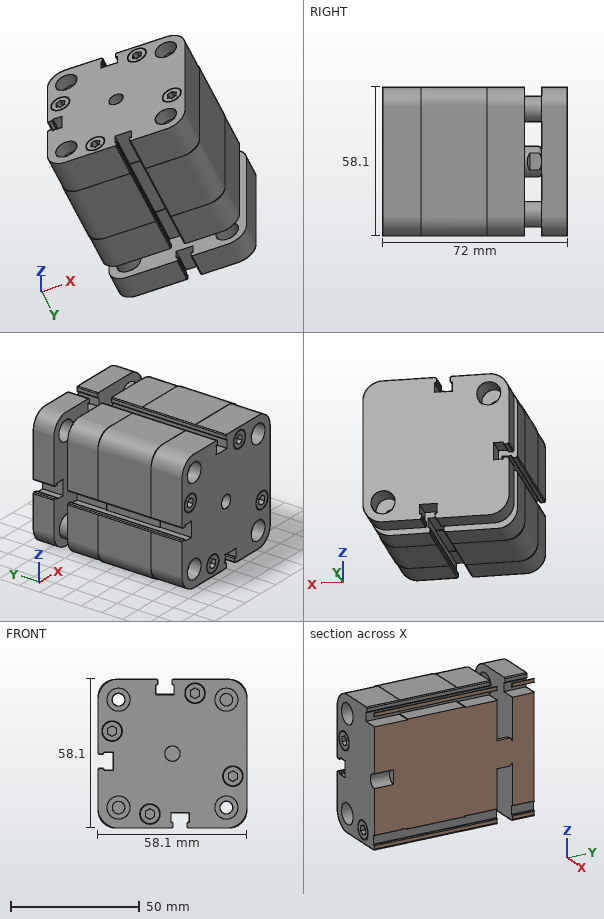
import cadquery as cq
import math

cap_side = 58.1
tube_side = 58.0
total_length = 72.0
front_cap_length = 15.0
tube_length = 25.8
rear_cap_length = 14.6
plate_thickness = 10.0

cap_corner_setback = 7.3
cap_corner_radius = 7.9
tube_corner_radius = 7.0

rear_cap_start = front_cap_length + tube_length
body_end = rear_cap_start + rear_cap_length
plate_start = total_length - plate_thickness
plate_gap = plate_start - body_end

slot_offset = 2.95
slot_width = 7.0
slot_neck_width = 5.4
slot_lip = 2.4
slot_lip_rounding = 0.4
slot_depth = 6.1
tube_slot_depth = 5.8
slot_angles = (0, 90, 180)

corner_hole_place = 21.0
corner_bore_diameter = 9.0
corner_bore_depth = 5.5
corner_hole_diameter = 4.9
plate_hole_diameter = 9.5

guide_rod_place = 20.5
guide_rod_diameter = 10.0

piston_diameter = 12.0
piston_flat_width = 10.0
piston_flat_length = 4.6
piston_end_rounding = 1.45

port_diameter = 6.0
port_depth = 8.65

screw_near = 8.8
screw_far = 23.55
screw_recess_diameter = 8.0
screw_head_diameter = 7.5
screw_recess_depth = 4.3
socket_across_flats = 3.6
socket_depth = 3.6


def plane_at(y):
    """Plane at distance y from the front face: local x is +X, local y is +Z."""
    return cq.Workplane("XZ", origin=(0, y, 0))


def cylinders(points, start, length, diameter):
    return plane_at(start).pushPoints(points).circle(diameter / 2).extrude(-length)


def slots(start, length, depth):
    """T-shaped sensor slots with rounded lips, along one stretch of the part."""
    face = cap_side / 2
    half_neck = slot_neck_width / 2
    half_slot = slot_width / 2
    half_mouth = half_neck + slot_lip_rounding
    lip_bottom = face - slot_lip
    rounding = slot_lip_rounding
    slot = (
        plane_at(start)
        .center(-slot_offset, 0)
        .moveTo(half_mouth, face)
        .radiusArc((half_neck, face - rounding), rounding)
        .lineTo(half_neck, lip_bottom + rounding)
        .radiusArc((half_mouth, lip_bottom), rounding)
        .lineTo(half_slot, lip_bottom)
        .lineTo(half_slot, face - depth)
        .lineTo(-half_slot, face - depth)
        .lineTo(-half_slot, lip_bottom)
        .lineTo(-half_mouth, lip_bottom)
        .radiusArc((-half_neck, lip_bottom + rounding), rounding)
        .lineTo(-half_neck, face - rounding)
        .radiusArc((-half_mouth, face), rounding)
        .close()
        .extrude(-length)
    )
    cutters = [slot.rotate((0, 0, 0), (0, 1, 0), -angle) for angle in slot_angles]
    return cutters[0].union(cutters[1]).union(cutters[2])


def cap_block(start, length):
    """Slotted square block of the caps and the plate, with arcs across its corners."""
    face = cap_side / 2
    edge = face - cap_corner_setback
    radius = cap_corner_radius
    block = (
        plane_at(start)
        .moveTo(-edge, face)
        .lineTo(edge, face)
        .radiusArc((face, edge), radius)
        .lineTo(face, -edge)
        .radiusArc((edge, -face), radius)
        .lineTo(-edge, -face)
        .radiusArc((-face, -edge), radius)
        .lineTo(-face, edge)
        .radiusArc((-edge, face), radius)
        .close()
        .extrude(-length)
    )
    return block.cut(slots(start, length, slot_depth))


def tube_block():
    """Middle stretch of the body, slightly narrower than the caps but fuller at its corners."""
    block = plane_at(front_cap_length).rect(tube_side, tube_side).extrude(-tube_length)
    block = block.edges("|Y").fillet(tube_corner_radius)
    return block.cut(slots(front_cap_length, tube_length, tube_slot_depth))


def piston_rod():
    """Rod between body and plate: rounded end, two side flats that run out at 45 degrees."""
    radius = piston_diameter / 2
    half_flat = piston_flat_width / 2
    runout = radius - half_flat
    flat_start = plate_start - piston_flat_length
    rod = plane_at(body_end).circle(radius).extrude(-plate_gap)
    rod = rod.faces(">Y").edges().fillet(piston_end_rounding)
    flat_outline = [
        (half_flat, plate_start),
        (half_flat, flat_start),
        (radius, flat_start - runout),
        (radius, plate_start),
    ]
    flat = cq.Workplane("XY").polyline(flat_outline).close().extrude(radius, both=True)
    return rod.cut(flat).cut(flat.mirror("YZ"))


def opposite_pairs(place):
    """Two diagonal pairs of corner points: upper left with lower right, then the others."""
    return [(-place, place), (place, -place)], [(place, place), (-place, -place)]


front_cap = cap_block(0, front_cap_length)
rear_cap = cap_block(rear_cap_start, rear_cap_length)
body = front_cap.union(tube_block()).union(rear_cap)
plate = cap_block(plate_start, plate_thickness)

open_corners, closed_corners = opposite_pairs(corner_hole_place)
corners = open_corners + closed_corners
body = body.cut(cylinders(corners, 0, corner_bore_depth, corner_bore_diameter))
body = body.cut(cylinders(corners, 0, body_end, corner_hole_diameter))
plate = plate.cut(cylinders(open_corners, plate_start, plate_thickness, plate_hole_diameter))

body = body.cut(cylinders([(0, 0)], 0, port_depth, port_diameter))

screws = [
    (screw_near, screw_far),
    (screw_far, -screw_near),
    (-screw_near, -screw_far),
    (-screw_far, screw_near),
]
socket_corner_diameter = socket_across_flats / math.cos(math.radians(30))
heads = cylinders(screws, 0, screw_recess_depth, screw_head_diameter)
socket = plane_at(0).polygon(6, socket_corner_diameter).extrude(-socket_depth)
socket = socket.rotate((0, 0, 0), (0, 1, 0), 30)
for x, z in screws:
    heads = heads.cut(socket.translate((x, 0, z)))
body = body.cut(cylinders(screws, 0, screw_recess_depth, screw_recess_diameter)).union(heads)

guide_rods = cylinders(opposite_pairs(guide_rod_place)[1], body_end, plate_gap, guide_rod_diameter)
result = body.union(guide_rods).union(piston_rod()).union(plate)